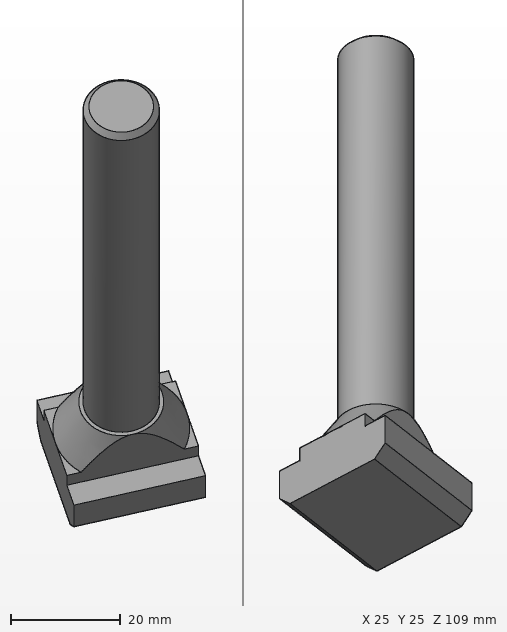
import cadquery as cq

total_height = 109.0
head_side = 25.0

head_height = 9.0
head_chamfer = 2.5
neck_width = 15.5
neck_shoulder_z = 12.0
neck_top_z = 20.0

shank_diameter = 14.0
shank_chamfer = 1.1


def make_head():
    """Square head with its two lower edges along Y chamfered."""
    head = cq.Workplane("XY").box(head_side, head_side, head_height, centered=(True, True, False))
    return head.faces("<Z").edges("|Y").chamfer(head_chamfer)


def make_neck():
    """Rectangular neck topped by a cone that is cut flat to the neck width."""
    base = cq.Workplane("XY").box(neck_width, head_side, neck_shoulder_z, centered=(True, True, False))
    cone_profile = [
        (0, neck_shoulder_z),
        (head_side / 2, neck_shoulder_z),
        (neck_width / 2, neck_top_z),
        (0, neck_top_z),
    ]
    cone = cq.Workplane("XZ").polyline(cone_profile).close().revolve(360, (0, 0), (0, 1))
    flat_limits = cq.Workplane("XY").box(neck_width, head_side, neck_top_z, centered=(True, True, False))
    return base.union(cone.intersect(flat_limits))


def make_shank():
    """Round shank from the neck to the chamfered tip."""
    shank = cq.Workplane("XY").workplane(offset=neck_top_z)
    shank = shank.circle(shank_diameter / 2).extrude(total_height - neck_top_z)
    return shank.faces(">Z").chamfer(shank_chamfer)


result = make_head().union(make_neck()).union(make_shank())